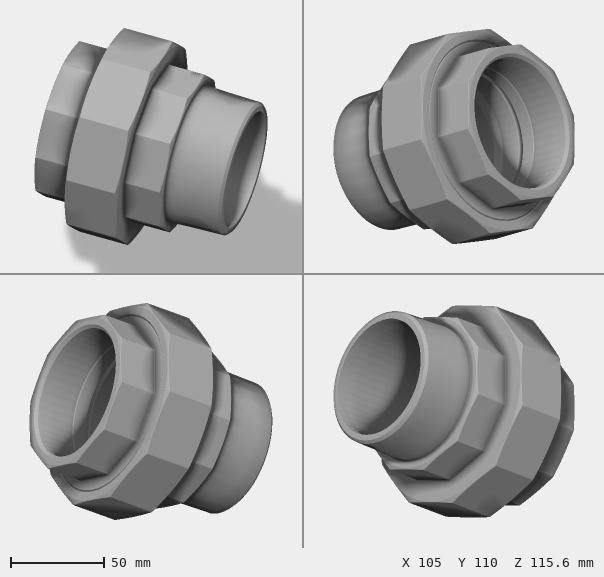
import cadquery as cq
import math


sides = 10
half_side_angle = 180 / sides
corner_round = 1.0
chamfer_edge_round = 0.5
base_fillet = 0.7

nut_start_x = 22.1
nut_shoulder_x = 45.1
nut_end_x = 52.1
flange_face_x = 22.4
joint_x = 34.2
collar_start_x = nut_end_x
collar_end_x = 73.1
overall_length = 105.0

body_across_flats = 84.0
body_face_diameter = 83.2
body_chamfer_angle = 15
flange_diameter = 98.7
flange_face_diameter = 97.4
bore_mouth_diameter = 75.5
female_thread_diameter = 72.2
female_thread_end_x = 24.2
body_bore_diameter = 71.2
gasket_recess_diameter = 76.3
gasket_recess_depth = 2.1

tail_flange_diameter = 96.5
tail_neck_diameter = 92.0
collar_across_flats = 85.3
collar_face_diameter = 83.9
collar_chamfer_angle = 20
male_thread_diameter = 76.2
male_thread_taper = 1 / 16
male_thread_chamfer = 1.5
tail_entry_diameter = 70.0
tail_bore_diameter = 65.0
tail_mouth_round = 0.5
tail_cone_start_x = 45.9
tail_cone_angle = 30

nut_across_flats = 110.0
nut_face_diameter = 109.3
nut_chamfer_angle = 20
nut_mouth_diameter = 100.3
nut_bore_diameter = flange_diameter
nut_neck_hole_diameter = tail_neck_diameter

pick_tolerance = 0.01


def turned(outline):
    """Revolve a closed outline of (x, radius) points about the X axis."""
    return cq.Workplane("XZ").polyline(outline).close().revolve(360, (0, 0), (1, 0))


def cylinder(diameter, x_start, x_end):
    """Solid cylinder on the X axis."""
    return cq.Workplane("YZ", origin=(x_start, 0, 0)).circle(diameter / 2).extrude(x_end - x_start)


def decagon(across_flats, x_start, x_end):
    """Decagonal prism on the X axis with rounded long edges."""
    across_corners = across_flats / math.cos(math.radians(half_side_angle))
    base = cq.Workplane("YZ", origin=(x_start, 0, 0)).polygon(sides, across_corners)
    prism = base.extrude(x_end - x_start).edges("|X").fillet(corner_round)
    return prism.rotate((0, 0, 0), (1, 0, 0), half_side_angle)


def chamfer_corners(prism, across_flats, face_diameter, angle, face_x, inward):
    """Chamfer the corners at one end conically and round the edges this leaves.

    The angle is measured from the end face; inward is the X sign towards the material.
    """
    face_radius = face_diameter / 2
    clear_radius = across_flats
    slope = math.tan(math.radians(angle))
    waste = turned([
        (face_x, face_radius),
        (face_x, clear_radius),
        (face_x + inward * (clear_radius - face_radius) * slope, clear_radius),
    ])
    corner_radius = across_flats / 2 / math.cos(math.radians(half_side_angle))
    chamfer_depth = (corner_radius - face_radius) * slope
    near_x, far_x = sorted((face_x + inward * pick_tolerance, face_x + inward * chamfer_depth))
    new_edges = cq.selectors.BoxSelector(
        (near_x, -clear_radius, -clear_radius), (far_x, clear_radius, clear_radius)
    )
    return prism.cut(waste).edges(new_edges).fillet(chamfer_edge_round)


def fillet_in_plane(solid, plane_x, reach, radius):
    """Fillet the edges in the plane x = plane_x that stay within reach of the axis."""
    box = cq.selectors.BoxSelector(
        (plane_x - pick_tolerance, -reach, -reach),
        (plane_x + pick_tolerance, reach, reach),
        boundingbox=True,
    )
    return solid.edges(box).fillet(radius)


def make_body():
    """Decagonal female end with a round flange that fills the nut bore."""
    end = decagon(body_across_flats, 0, joint_x)
    end = chamfer_corners(end, body_across_flats, body_face_diameter, body_chamfer_angle, 0, 1)
    flange_chamfer = (flange_diameter - flange_face_diameter) / 2
    flange = cylinder(flange_diameter, flange_face_x, joint_x).faces("<X").chamfer(flange_chamfer)
    inside_flange_rim = flange_face_diameter / 2 - base_fillet
    body = fillet_in_plane(end.union(flange), flange_face_x, inside_flange_rim, base_fillet)
    mouth_depth = (bore_mouth_diameter - female_thread_diameter) / 2
    step_length = (female_thread_diameter - body_bore_diameter) / 2
    bore = turned([
        (0, 0),
        (0, bore_mouth_diameter / 2),
        (mouth_depth, female_thread_diameter / 2),
        (female_thread_end_x, female_thread_diameter / 2),
        (female_thread_end_x + step_length, body_bore_diameter / 2),
        (joint_x, body_bore_diameter / 2),
        (joint_x, 0),
    ])
    recess = cylinder(gasket_recess_diameter, joint_x - gasket_recess_depth, joint_x)
    return body.cut(bore).cut(recess)


def male_thread():
    """Plain tapered cone of the male thread with a 45 degree chamfer at its tip."""
    root_radius = male_thread_diameter / 2
    chamfer_start_x = overall_length - male_thread_chamfer
    tip_radius = root_radius - (chamfer_start_x - collar_end_x) * male_thread_taper / 2
    return turned([
        (collar_end_x, 0),
        (collar_end_x, root_radius),
        (chamfer_start_x, tip_radius),
        (overall_length, tip_radius - male_thread_chamfer),
        (overall_length, 0),
    ])


def make_tail():
    """Flange and neck inside the nut, then the decagonal collar and the male thread."""
    flange = cylinder(tail_flange_diameter, joint_x, nut_shoulder_x)
    neck = cylinder(tail_neck_diameter, nut_shoulder_x, collar_start_x)
    collar = decagon(collar_across_flats, collar_start_x, collar_end_x)
    collar = chamfer_corners(
        collar, collar_across_flats, collar_face_diameter, collar_chamfer_angle, collar_end_x, -1
    )
    tail = flange.union(neck).union(collar).union(male_thread())
    inside_neck_rim = tail_neck_diameter / 2 - base_fillet / 2
    tail = fillet_in_plane(tail, collar_start_x, inside_neck_rim, base_fillet)
    tail = fillet_in_plane(tail, collar_end_x, male_thread_diameter / 2 + base_fillet, base_fillet)
    cone_length = (tail_entry_diameter - tail_bore_diameter) / 2 / math.tan(math.radians(tail_cone_angle))
    bore = turned([
        (joint_x, 0),
        (joint_x, tail_entry_diameter / 2),
        (tail_cone_start_x, tail_entry_diameter / 2),
        (tail_cone_start_x + cone_length, tail_bore_diameter / 2),
        (overall_length, tail_bore_diameter / 2),
        (overall_length, 0),
    ])
    return fillet_in_plane(tail.cut(bore), joint_x, tail_neck_diameter / 2, tail_mouth_round)


def make_nut():
    """Decagonal ring with a shoulder that pulls the tail flange against the body."""
    nut = decagon(nut_across_flats, nut_start_x, nut_end_x)
    for face_x, inward in ((nut_start_x, 1), (nut_end_x, -1)):
        nut = chamfer_corners(nut, nut_across_flats, nut_face_diameter, nut_chamfer_angle, face_x, inward)
    mouth_chamfer = (nut_mouth_diameter - nut_bore_diameter) / 2
    bore = turned([
        (nut_start_x, 0),
        (nut_start_x, nut_mouth_diameter / 2),
        (nut_start_x + mouth_chamfer, nut_bore_diameter / 2),
        (nut_shoulder_x, nut_bore_diameter / 2),
        (nut_shoulder_x, nut_neck_hole_diameter / 2),
        (nut_end_x, nut_neck_hole_diameter / 2),
        (nut_end_x, 0),
    ])
    return nut.cut(bore)


body = make_body()
tail = make_tail()
nut = make_nut()

result = cq.Compound.makeCompound([body.solids().val(), tail.solids().val(), nut.solids().val()])